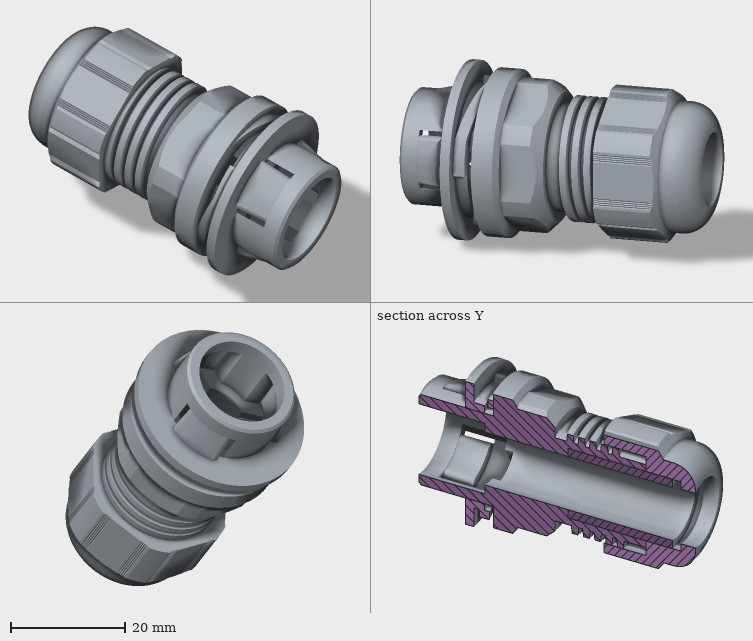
import cadquery as cq
import math


total_length = 54.15
lip_end = 2.9
seal_front = 4.5
gland_front = 9.75
nut_cone_start = 6.2
nut_cone_end = 7.65
nut_end = 17.95
seal_end = 24.9
hex_start = 27.45
hex_chamfer_end = 29.5
flange_start = 34.9
flange_chamfer_end = 35.8
flange_end = 39.6
boss_start = 41.25
disc_start = 43.3
disc_end = 45.05
window_end = 50.85

flat_count = 6
flat_step = 360 / flat_count
flats_width = 25.2
hex_round_radius = 13.65
thread_crest_diameter = 22.2
thread_root_diameter = 19.05
seal_diameter = 16.0
tail_diameter = 20.6

repeat_count = 3
repeat_step = 360 / repeat_count

cap_diameter = 23.3
mouth_diameter = 13.1
mouth_rim_diameter = 14.3
groove_count = 4
groove_pitch = 0.35
groove_depth = 0.25
groove_offset = 3.3

thread_pitch = 2.2
thread_turns = 5
thread_end = 25.7
thread_crest_width = 1.2
thread_base_width = 1.55
thread_embed = 0.15
hex_front_radius = 11.6
flange_diameter = 29.75
tail_bore_diameter = 16.3
tail_chamfer = 0.5

first_tongue_angle = 30.5
window_width = 10.75
tongue_angle = 43.0
tongue_big_radius = 11.7
neck_window_width = 5.85
tongue_inner_radius = 8.3
tongue_root_radius = 10.25
tongue_embed = 0.25
tongue_bulge_angle = 6.0

seal_bore_diameter = 12.8

disc_diameter = 31.8
boss_diameter = 23.8
ramp_inner_diameter = 23.3
ramp_outer_diameter = 26.85
first_pad_angle = 25.4
pad_angle = 27.6
ramp_angle = 75.0
ramp_lead = 17.55


def revolved(points):
    """Solid of revolution about X of a closed outline of (x, radius) points."""
    return cq.Workplane("XY").polyline(points).close().revolve(360, (0, 0, 0), (1, 0, 0))


def tube(start, end, outer_diameter, inner_diameter):
    """Plain ring along X."""
    ring = cq.Workplane("YZ", origin=(start, 0, 0)).circle(outer_diameter / 2).circle(inner_diameter / 2)
    return ring.extrude(end - start)


def cylinder(start, end, diameter):
    return cq.Workplane("YZ", origin=(start, 0, 0)).circle(diameter / 2).extrude(end - start)


def turned(shape, angle):
    """Shape turned about X, from +Z towards -Y."""
    return shape.rotate((0, 0, 0), (1, 0, 0), angle)


def sector(start, end, angle):
    """Wedge with its tip on the X axis, centred on +Z and reaching outside every body."""
    reach = disc_diameter
    half_width = reach * math.tan(math.radians(angle / 2))
    outline = [(0, 0), (half_width, reach), (-half_width, reach)]
    return cq.Workplane("YZ", origin=(start, 0, 0)).polyline(outline).close().extrude(end - start)


def hexagon(start, end):
    """Hexagonal prism with two of its flats facing -Y and +Y."""
    corner_diameter = flats_width / math.cos(math.radians(flat_step / 2))
    prism = cq.Workplane("YZ", origin=(start, 0, 0)).polygon(flat_count, corner_diameter).extrude(end - start)
    return turned(prism, flat_step / 2)


def helical_bar(section, radius, lead, turns, left_handed=False):
    """Section of (radius, height) points swept up a helix about X, which starts at x = 0 on -Z."""
    helix = cq.Wire.makeHelix(lead, lead * turns, radius, lefthand=left_handed)
    bar = cq.Workplane("XZ").polyline(section).close().sweep(cq.Workplane(obj=helix), isFrenet=True)
    return bar.rotate((0, 0, 0), (0, 1, 0), 90)


def grip_grooves():
    """V-grooves along both edges of each of the six flats."""
    flat = flats_width / 2
    grooves = []
    for side in (-1, 1):
        for index in range(groove_count):
            near = side * (groove_offset + index * groove_pitch)
            far = near + side * groove_pitch
            outline = [(flat, near), (flat - groove_depth, (near + far) / 2), (flat, far)]
            groove = cq.Workplane("YZ", origin=(nut_cone_start, 0, 0)).polyline(outline).close()
            grooves.append(groove.extrude(nut_end - nut_cone_start))
    return [turned(groove, flat_step * number).val() for number in range(flat_count) for groove in grooves]


def make_cap_nut():
    cap_radius = cap_diameter / 2
    rim_radius = mouth_rim_diameter / 2
    dome_radius = cap_radius - rim_radius
    dome_middle = (
        dome_radius * (1 - math.sqrt(0.5)),
        rim_radius + dome_radius * math.sqrt(0.5),
    )
    outline = (
        cq.Workplane("XY")
        .moveTo(0, 0)
        .lineTo(0, rim_radius)
        .threePointArc(dome_middle, (dome_radius, cap_radius))
        .lineTo(nut_cone_start, cap_radius)
        .lineTo(nut_cone_end, hex_round_radius)
        .lineTo(nut_end, hex_round_radius)
        .lineTo(nut_end, 0)
        .close()
    )
    nut = outline.revolve(360, (0, 0, 0), (1, 0, 0)).intersect(hexagon(0, nut_end))
    nut = nut.cut(cq.Workplane(obj=cq.Compound.makeCompound(grip_grooves())))
    nut = nut.cut(cylinder(0, lip_end, mouth_diameter))
    nut = nut.cut(cylinder(lip_end, gland_front, seal_diameter))
    return nut.cut(cylinder(gland_front, nut_end, thread_crest_diameter))


def make_thread():
    """Trapezoidal right-hand ridge, its end on the -Z side."""
    root = thread_root_diameter / 2 - thread_embed
    crest = thread_crest_diameter / 2
    section = [
        (root, -thread_base_width / 2),
        (crest, -thread_crest_width / 2),
        (crest, thread_crest_width / 2),
        (root, thread_base_width / 2),
    ]
    ridge = helical_bar(section, root, thread_pitch, thread_turns)
    return ridge.translate((thread_end - thread_pitch * thread_turns, 0, 0))


def polar(radius, angle):
    """(Y, Z) point at an angle from +Z."""
    return (-radius * math.sin(math.radians(angle)), radius * math.cos(math.radians(angle)))


def draw_tongue_section(plane, outer_radius):
    """Arched section centred on +Z, with both flanks bulging outwards."""
    inner_radius = tongue_inner_radius
    middle_radius = (inner_radius + outer_radius) / 2
    edge = tongue_angle / 2
    bulge = edge + tongue_bulge_angle
    return (
        plane.moveTo(*polar(outer_radius, -edge))
        .threePointArc(polar(outer_radius, 0), polar(outer_radius, edge))
        .threePointArc(polar(middle_radius, bulge), polar(inner_radius, edge))
        .threePointArc(polar(inner_radius, 0), polar(inner_radius, -edge))
        .threePointArc(polar(middle_radius, -bulge), polar(outer_radius, -edge))
        .close()
    )


def make_tongue():
    """Snap tongue on +Z that tapers down into the tail wall at the far end of its window."""
    big_section = draw_tongue_section(cq.Workplane("YZ", origin=(disc_end, 0, 0)), tongue_big_radius)
    root_plane = big_section.workplane(offset=window_end + tongue_embed - disc_end)
    return draw_tongue_section(root_plane, tongue_root_radius).loft(combine=True)


def make_window(start, end, width):
    """Straight-sided cutter that opens the tail wall on +Z."""
    length = end - start
    return cq.Workplane("XY", origin=(start + length / 2, 0, 0)).rect(length, width).extrude(tail_diameter)


def make_gland_body():
    hex_part = revolved(
        [
            (hex_start, 0),
            (hex_start, hex_front_radius),
            (hex_chamfer_end, hex_round_radius),
            (flange_start, hex_round_radius),
            (flange_start, 0),
        ]
    ).intersect(hexagon(hex_start, flange_start))
    flange = revolved(
        [
            (flange_start, 0),
            (flange_start, hex_round_radius),
            (flange_chamfer_end, flange_diameter / 2),
            (flange_end, flange_diameter / 2),
            (flange_end, 0),
        ]
    )
    tail = cylinder(flange_end, total_length, tail_diameter).faces(">X").chamfer(tail_chamfer)
    neck = cylinder(gland_front, hex_start, thread_root_diameter)
    body = neck.union(hex_part).union(flange).union(tail).union(make_thread())
    body = body.cut(cylinder(gland_front, seal_end, seal_diameter))
    body = body.cut(cylinder(seal_end, boss_start, seal_bore_diameter))
    body = body.cut(cylinder(boss_start, total_length, tail_bore_diameter))

    windows = make_window(flange_end, boss_start, neck_window_width)
    windows = windows.union(make_window(boss_start, window_end, window_width))
    for index in range(repeat_count):
        angle = first_tongue_angle + index * repeat_step
        body = body.cut(turned(windows, angle)).union(turned(make_tongue(), angle))
    return body


def make_seal():
    return tube(seal_front, seal_end, seal_diameter, seal_bore_diameter)


def make_ramp():
    """Flat pad against the disc that runs on as a left-hand helical strip down to the flange."""
    inner = ramp_inner_diameter / 2
    outer = ramp_outer_diameter / 2
    pad = tube(boss_start, disc_start, ramp_outer_diameter, ramp_inner_diameter)
    pad = pad.intersect(turned(sector(boss_start, disc_start, pad_angle), first_pad_angle + pad_angle / 2))

    width = disc_start - boss_start
    turns = ramp_angle / 360
    drop = ramp_lead * turns
    section = [(inner, 0), (outer, 0), (outer, width), (inner, width)]
    strip = helical_bar(section, inner, ramp_lead, turns, left_handed=True)
    strip = strip.translate((boss_start - drop, 0, 0))
    strip = turned(strip, first_pad_angle + pad_angle + ramp_angle - 180)
    strip = strip.intersect(cylinder(flange_end, disc_start, disc_diameter))
    return pad.union(strip)


def make_locking_disc():
    disc = tube(disc_start, disc_end, disc_diameter, tail_diameter)
    disc = disc.union(tube(boss_start, disc_start, boss_diameter, tail_diameter))
    ramp = make_ramp()
    for index in range(repeat_count):
        disc = disc.union(turned(ramp, index * repeat_step))
    return disc


cap_nut = make_cap_nut()
gland_body = make_gland_body()
seal = make_seal()
locking_disc = make_locking_disc()

bodies = [cap_nut, gland_body, seal, locking_disc]
result = cq.Compound.makeCompound([body.solids().val() for body in bodies])